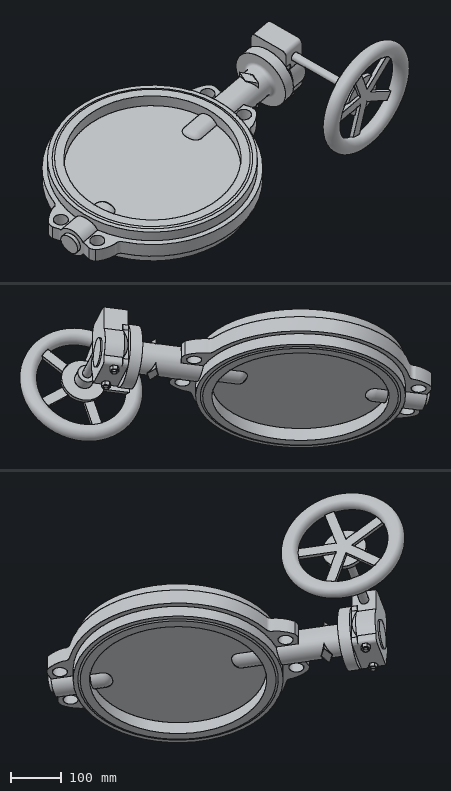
import cadquery as cq
import math


flange_radius = 217.5
flange_thickness = 32.0
ring_radius = 207.0
ring_height = 80.0
liner_radius = 197.0
liner_crown_radius = 193.0
liner_rise = 1.5
bore_radius = 174.0

disc_thickness = 29.0
disc_boss_radius = 27.0
disc_boss_rounding = 17.0
upper_boss_tip_y = 109.0
lower_boss_tip_y = -132.5

lug_hole_x = 46.0
lug_hole_y = 228.0
lug_hole_radius = 15.0
lug_crest_radius = 26.0
lug_root_y = 250.5
lug_shoulder_x = 60.0
lug_flank_x = 72.5
lug_flank_y = 233.0
lug_side_x = 79.5
lug_side_y = 213.5
lug_fillet = 11.5

neck_radius = 32.0
top_flange_y = 337.0
top_flange_radius = 63.0
top_flange_thickness = 25.0
neck_fillet = 8.5
lower_neck_y = -250.5
stem_radius = 21.5
stem_end_y = -259.0

pad_y = 301.0
pad_half_length = 25.0
pad_half_width = 11.5
pad_height = 34.0

case_start_y = top_flange_y + top_flange_thickness
case_end_y = 411.0
case_radius = 54.0
case_chamfer = 10.0
case_half_width = 45.0
case_top_z = 84.0
case_bottom_z = -48.0
case_top_fillet = 11.5
case_bottom_fillet = 8.5
cover_radius = 29.0
cover_thickness = 3.0

flange_screw_offset = 38.5
flange_screw_radius = 8.5
flange_screw_length = 11.5
stop_screw_x = 32.0
stop_nut_corner_width = 18.5
stop_nut_height = 8.5
stop_screw_radius = 5.5
stop_screw_length = 12.0

wheel_y = 387.0
wheel_z = 55.5
wheel_x = 227.5
wheel_outer_radius = 125.0
rim_radius = 17.0
shaft_radius = 9.0
hub_start_x = 182.0
hub_radius = 18.5
plate_start_x = 209.0
plate_radius = 45.0
plate_thickness = 9.0
spoke_width = 21.0
spoke_start_x = 216.0
spoke_thickness = 9.0
spoke_count = 5


def rod_along_y(radius, start_y, end_y, x=0, z=0):
    """Cylinder along Y, from start_y to end_y."""
    start = cq.Vector(x, start_y, z)
    return cq.Workplane(cq.Solid.makeCylinder(radius, end_y - start_y, start, cq.Vector(0, 1, 0)))


def rod_along_x(radius, start_x, end_x):
    """Cylinder along X on the handwheel axis."""
    start = cq.Vector(start_x, wheel_y, wheel_z)
    return cq.Workplane(cq.Solid.makeCylinder(radius, end_x - start_x, start, cq.Vector(1, 0, 0)))


def centred_disc(radius, thickness):
    """Disc about Z, centred on the origin."""
    return cq.Workplane("XY").circle(radius).extrude(thickness / 2, both=True)


def make_lug():
    """Right-hand lug at +Y, without its hole; its inner end lies inside the ring."""
    crest_y = lug_hole_y + lug_crest_radius
    shoulder_dx = lug_shoulder_x - lug_hole_x
    shoulder_y = lug_hole_y + math.sqrt(lug_crest_radius**2 - shoulder_dx**2)
    crest_mid_dx = shoulder_dx / 2
    crest_mid_y = lug_hole_y + math.sqrt(lug_crest_radius**2 - crest_mid_dx**2)
    return (
        cq.Workplane("XY")
        .lineTo(0, lug_root_y)
        .lineTo(neck_radius, lug_root_y)
        .lineTo(lug_hole_x, crest_y)
        .threePointArc((lug_hole_x + crest_mid_dx, crest_mid_y), (lug_shoulder_x, shoulder_y))
        .threePointArc((lug_flank_x, lug_flank_y), (lug_side_x, lug_side_y))
        .lineTo(lug_side_x, 0)
        .close()
        .extrude(flange_thickness / 2, both=True)
    )


def make_lugged_flange():
    """Middle flange with its four lugs, blended into the round edge."""
    upper_lugs = make_lug().union(make_lug().mirror("YZ"))
    flange = centred_disc(flange_radius, flange_thickness).union(upper_lugs).union(upper_lugs.mirror("XZ"))
    corner_y = math.sqrt(flange_radius**2 - lug_side_x**2)
    reach = 1.0
    for x in (-lug_side_x, lug_side_x):
        for y in (-corner_y, corner_y):
            low_corner = (x - reach, y - reach, -reach)
            high_corner = (x + reach, y + reach, reach)
            flange = flange.edges(cq.selectors.BoxSelector(low_corner, high_corner)).fillet(lug_fillet)
    return flange


def make_ring():
    """Valve ring with a slightly proud, bevelled liner on both faces."""
    ring = centred_disc(ring_radius, ring_height)
    face_centre = cq.Vector(0, 0, ring_height / 2)
    liner = cq.Workplane(cq.Solid.makeCone(liner_radius, liner_crown_radius, liner_rise, face_centre))
    return ring.union(liner).union(liner.mirror("XY"))


def make_disc_boss(tip_y, root_y):
    """Stem boss on the disc, with a rounded tip."""
    boss = rod_along_y(disc_boss_radius, min(tip_y, root_y), max(tip_y, root_y))
    tip = "<Y" if tip_y < root_y else ">Y"
    return boss.faces(tip).edges().fillet(disc_boss_rounding)


def make_neck():
    """Upper neck with its top flange, and the short lower neck with the stem end."""
    top_flange = rod_along_y(top_flange_radius, top_flange_y, case_start_y)
    neck = rod_along_y(neck_radius, bore_radius, top_flange_y).union(top_flange)
    underside = cq.selectors.NearestToPointSelector((0, top_flange_y, 0))
    joint_circle = cq.selectors.RadiusNthSelector(0)
    neck = neck.faces(underside).edges(joint_circle).fillet(neck_fillet)
    lower_neck = rod_along_y(neck_radius, lower_neck_y, -bore_radius)
    stem_end = rod_along_y(stem_radius, stem_end_y, lower_neck_y)
    return neck, lower_neck.union(stem_end)


def make_neck_pads():
    """Rhombus that stands out of the neck above and below as flat pads."""
    corners = [
        (-pad_half_length, pad_y),
        (0, pad_y + pad_half_width),
        (pad_half_length, pad_y),
        (0, pad_y - pad_half_width),
    ]
    return cq.Workplane("XY").polyline(corners).close().extrude(pad_height, both=True)


def make_valve():
    boss_root_y = (bore_radius + ring_radius) / 2
    upper_neck, lower_neck = make_neck()
    valve = make_ring().union(make_lugged_flange()).union(upper_neck).union(lower_neck)
    valve = valve.cut(centred_disc(bore_radius, 2 * ring_height))
    valve = valve.union(centred_disc(bore_radius, disc_thickness))
    valve = valve.union(make_disc_boss(upper_boss_tip_y, boss_root_y))
    valve = valve.union(make_disc_boss(lower_boss_tip_y, -boss_root_y))
    valve = valve.union(make_neck_pads())
    lug_holes = (
        cq.Workplane("XY")
        .rect(2 * lug_hole_x, 2 * lug_hole_y, forConstruction=True)
        .vertices()
        .circle(lug_hole_radius)
        .extrude(flange_thickness, both=True)
    )
    return valve.cut(lug_holes)


def make_gear_case():
    """Box with rounded long edges merged with a round, bevelled worm-wheel case."""
    depth = case_end_y - case_start_y
    box = cq.Workplane("XY").box(
        2 * case_half_width, depth, case_top_z - case_bottom_z, centered=(True, False, False)
    ).translate((0, case_start_y, case_bottom_z))
    box = box.faces(">Z").edges("|Y").fillet(case_top_fillet)
    box = box.faces("<Z").edges("|Y").fillet(case_bottom_fillet)
    drum = rod_along_y(case_radius, case_start_y, case_end_y).faces("<Y").edges().chamfer(case_chamfer)
    below = cq.Workplane("XY").box(
        4 * case_radius, 4 * depth, case_radius, centered=(True, True, False)
    ).translate((0, case_start_y, case_bottom_z - case_radius))
    cover = rod_along_y(cover_radius, case_end_y, case_end_y + cover_thickness)
    return box.union(drum.cut(below)).union(cover)


def make_case_screws():
    """Four screw heads against the top flange, and two stop screws with lock nuts below."""
    screws = []
    for x in (-flange_screw_offset, flange_screw_offset):
        for z in (-flange_screw_offset, flange_screw_offset):
            end_y = case_start_y + flange_screw_length
            screws.append(rod_along_y(flange_screw_radius, case_start_y, end_y, x, z))
    for x in (-stop_screw_x, stop_screw_x):
        seat = cq.Workplane("XY", origin=(x, wheel_y, case_bottom_z))
        nut = seat.transformed(rotate=(0, 0, 90)).polygon(6, stop_nut_corner_width).extrude(-stop_nut_height)
        stud = seat.circle(stop_screw_radius).extrude(-stop_screw_length)
        screws.append(nut.union(stud))
    return screws


def make_handwheel():
    """Round rim, flat centre plate with spokes, hub and shaft."""
    rim_path_radius = wheel_outer_radius - rim_radius
    centre = cq.Vector(wheel_x, wheel_y, wheel_z)
    wheel = cq.Workplane(cq.Solid.makeTorus(rim_path_radius, rim_radius, centre, cq.Vector(1, 0, 0)))
    wheel = wheel.union(rod_along_x(plate_radius, plate_start_x, plate_start_x + plate_thickness))
    axis_start = (0, wheel_y, wheel_z)
    axis_end = (1, wheel_y, wheel_z)
    spoke = cq.Workplane("XY").box(
        spoke_thickness, rim_path_radius, spoke_width, centered=(False, False, True)
    ).translate((spoke_start_x, wheel_y - rim_path_radius, wheel_z))
    for index in range(spoke_count):
        wheel = wheel.union(spoke.rotate(axis_start, axis_end, index * 360 / spoke_count))
    wheel = wheel.union(rod_along_x(hub_radius, hub_start_x, plate_start_x))
    return wheel.union(rod_along_x(shaft_radius, 0, hub_start_x))


def make_gear_operator():
    operator = make_gear_case()
    for screw in make_case_screws():
        operator = operator.union(screw)
    return operator.union(make_handwheel())


valve = make_valve()
gear_operator = make_gear_operator()

result = cq.Compound.makeCompound([valve.solids().val(), gear_operator.solids().val()])